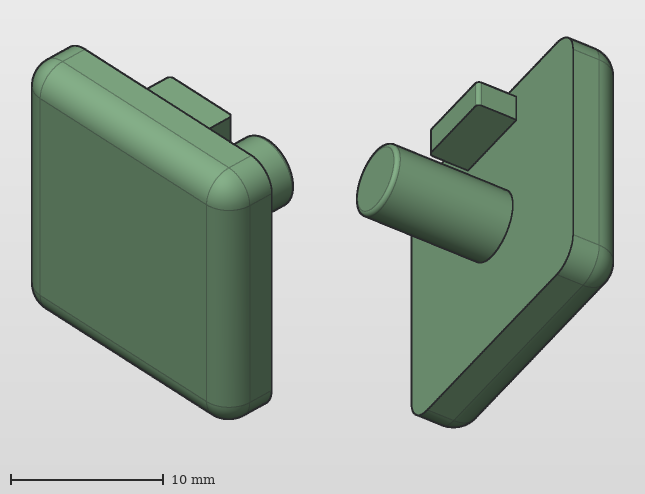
import cadquery as cq

plate_side = 20.0
plate_thickness = 4.0
plate_radius = 2.0

pin_diameter = 5.1
pin_length = 9.0
pin_end_radius = 0.3

tab_width = 6.0
tab_height = 2.0
tab_length = 3.0
tab_top_gap = 1.0
tab_corner_radius = 0.3

tab_center_z = plate_side / 2 - tab_top_gap - tab_height / 2


def make_plate():
    plate = cq.Workplane("XY").box(
        plate_side, plate_thickness, plate_side, centered=(True, False, True)
    )
    return plate.edges("|Y").fillet(plate_radius).faces("<Y").edges().fillet(plate_radius)


def make_pin():
    pin = (
        cq.Workplane("XZ", origin=(0, plate_thickness, 0))
        .circle(pin_diameter / 2)
        .extrude(-pin_length)
    )
    return pin.faces(">Y").edges().fillet(pin_end_radius)


def make_tab():
    tab = cq.Workplane("XY", origin=(0, plate_thickness, tab_center_z)).box(
        tab_width, tab_length, tab_height, centered=(True, False, True)
    )
    return tab.faces(">Y").edges("|Z").fillet(tab_corner_radius)


result = make_plate().union(make_pin()).union(make_tab())